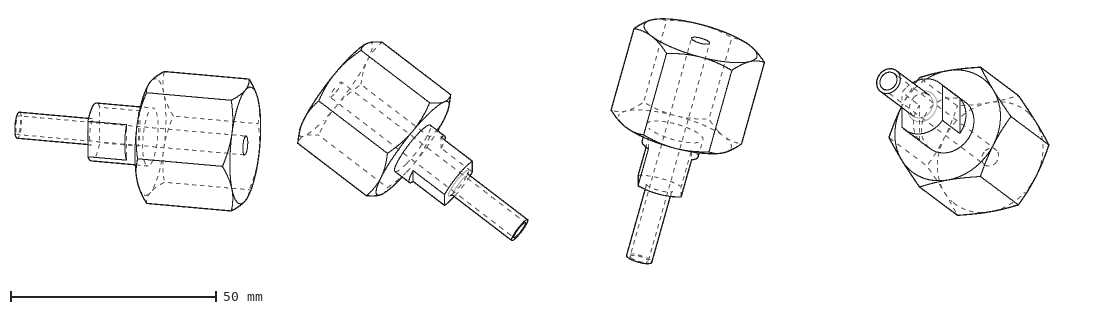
import cadquery as cq
import math

total_length = 57.35
neck_start = 19.1
flats_end = 28.85
nut_start = 33.4

bore_diameter = 4.6
tube_diameter = 6.4
neck_diameter = 14.2
neck_across_flats = 10.9
root_fillet = 0.75

nut_across_flats = 28.55
nut_across_corners = nut_across_flats / math.cos(math.radians(30))
chamfer_angle = 30.0


def rod(diameter, start, end):
    """Cylinder on the X axis from start to end."""
    return cq.Workplane("YZ", origin=(start, 0, 0)).circle(diameter / 2).extrude(end - start)


def hex_nut():
    """Hexagon with corners on the Y axis, both ends chamfered by a cone."""
    prism = (
        cq.Workplane("YZ", origin=(nut_start, 0, 0))
        .polygon(6, nut_across_corners)
        .extrude(total_length - nut_start)
    )
    face_radius = nut_across_flats / 2
    corner_radius = nut_across_corners / 2
    chamfer_depth = (corner_radius - face_radius) * math.tan(math.radians(chamfer_angle))
    envelope = (
        cq.Workplane("XY")
        .moveTo(nut_start, 0)
        .lineTo(nut_start, face_radius)
        .lineTo(nut_start + chamfer_depth, corner_radius)
        .lineTo(total_length - chamfer_depth, corner_radius)
        .lineTo(total_length, face_radius)
        .lineTo(total_length, 0)
        .close()
        .revolve(360, (0, 0, 0), (1, 0, 0))
    )
    return prism.intersect(envelope)


def neck():
    """Round neck with two wrench flats facing -Y and +Y."""
    flats_length = flats_end - neck_start
    flatted = rod(neck_diameter, neck_start, flats_end).intersect(
        cq.Workplane("XY")
        .box(flats_length, neck_across_flats, neck_diameter)
        .translate((neck_start + flats_length / 2, 0, 0))
    )
    return flatted.union(rod(neck_diameter, flats_end, nut_start))


def tube_root():
    """Concave fillet ring where the tube meets the neck."""
    tube_radius = tube_diameter / 2
    arc_offset = root_fillet * (1 - math.sqrt(0.5))
    return (
        cq.Workplane("XY")
        .moveTo(neck_start - root_fillet, 0)
        .lineTo(neck_start - root_fillet, tube_radius)
        .threePointArc(
            (neck_start - arc_offset, tube_radius + arc_offset),
            (neck_start, tube_radius + root_fillet),
        )
        .lineTo(neck_start, 0)
        .close()
        .revolve(360, (0, 0, 0), (1, 0, 0))
    )


tube = rod(tube_diameter, 0, neck_start)
bore = rod(bore_diameter, 0, total_length)
result = tube.union(tube_root()).union(neck()).union(hex_nut()).cut(bore)